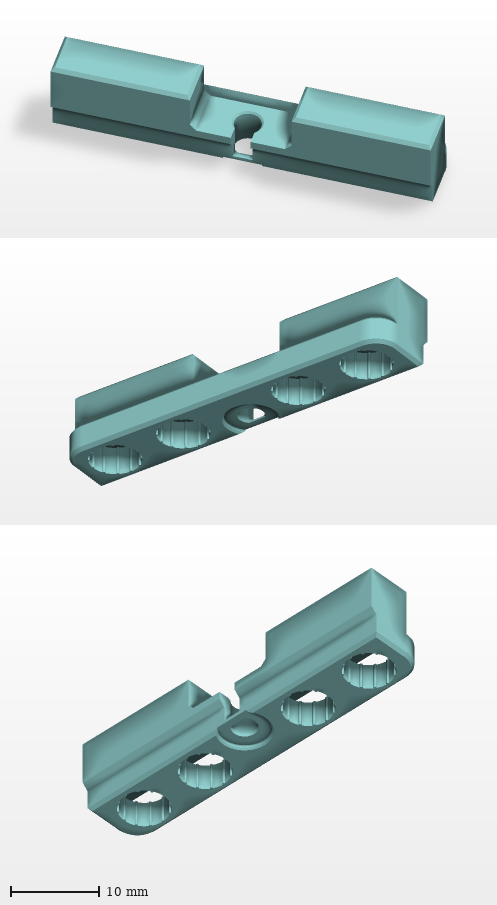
import cadquery as cq

length = 45.0
depth = 8.9
height = 9.85
edge_chamfer = 0.4

block_length = 44.95
block_depth = 5.8
front_setback = 0.8
setback_height = 2.92

flange_height = 3.5
flange_corner_radius = 3.0
wall_foot_chamfer = 0.2

notch_width = 12.0
notch_floor = 4.75
notch_corner_chamfer = 0.75

screw_diameter = 3.2
screw_rim_chamfer = 0.22
counterbore_diameter = 6.2
counterbore_depth = 0.6
counterbore_mouth_chamfer = 0.22
slot_width = 2.35
slot_floor = 1.05
ledge_top = 0.8

flange_hole_diameter = 6.2
flange_hole_rear_margin = 0.9
flange_hole_offsets = (8.0, 17.5)
rib_count = 12
rib_radius = 0.2

front_y = -block_depth / 2
back_y = front_y + depth
block_back_y = front_y + block_depth
lower_front_y = front_y + front_setback

overlap = 0.45


def make_block():
    """Main bar with the sloped front undercut and chamfered lower edges."""
    profile = [
        (lower_front_y, 0),
        (lower_front_y, setback_height),
        (front_y, setback_height + front_setback),
        (front_y, height),
        (block_back_y, height),
        (block_back_y, 0),
    ]
    bar = cq.Workplane("YZ").polyline(profile).close().extrude(block_length / 2, both=True)
    return bar.faces("<Z").edges("not >Y").chamfer(edge_chamfer)


def make_flange():
    """Low slab behind the block, chamfered everywhere but against the block."""
    flange_depth = back_y - block_back_y
    slab = (
        cq.Workplane("XY", origin=(0, block_back_y + flange_depth / 2, 0))
        .rect(length, flange_depth)
        .extrude(flange_height)
        .edges("|Z and >Y")
        .fillet(flange_corner_radius)
    )
    return slab.faces("<Z or >Z").edges("not <Y").chamfer(edge_chamfer)


def make_wall_foot():
    """Small 45 degree strip where the block's rear wall meets the flange top."""
    profile = [
        (block_back_y, flange_height),
        (block_back_y + wall_foot_chamfer, flange_height),
        (block_back_y, flange_height + wall_foot_chamfer),
    ]
    half_length = length / 2 - edge_chamfer
    return cq.Workplane("YZ").polyline(profile).close().extrude(half_length, both=True)


def make_notch():
    """Channel across the block with sloped lower corners."""
    half_width = notch_width / 2
    half_floor = half_width - notch_corner_chamfer
    slope_top = notch_floor + notch_corner_chamfer
    profile = [
        (-half_floor, notch_floor),
        (half_floor, notch_floor),
        (half_width, slope_top),
        (half_width, height + overlap),
        (-half_width, height + overlap),
        (-half_width, slope_top),
    ]
    return cq.Workplane("XZ").polyline(profile).close().extrude(depth, both=True)


def make_screw_hole():
    """Screw bore with a rim chamfer, a chamfered counterbore, and a slot open to the front.

    A thin ledge with a straight edge closes the front of the bore below the slot floor.
    """
    radius = screw_diameter / 2
    rim_start = notch_floor - screw_rim_chamfer
    bore = cq.Workplane("XY").circle(radius).extrude(notch_floor)
    ledge = (
        cq.Workplane("XY")
        .box(screw_diameter, block_depth, ledge_top, centered=(True, False, False))
        .translate((0, -slot_width / 2 - block_depth, 0))
    )
    rim = (
        cq.Workplane("XY", origin=(0, 0, rim_start))
        .circle(radius)
        .workplane(offset=screw_rim_chamfer)
        .circle(radius + screw_rim_chamfer)
        .loft()
    )
    counterbore = cq.Workplane("XY").circle(counterbore_diameter / 2).extrude(counterbore_depth)
    mouth = (
        cq.Workplane("XY")
        .circle(counterbore_diameter / 2 + counterbore_mouth_chamfer)
        .workplane(offset=counterbore_mouth_chamfer)
        .circle(counterbore_diameter / 2)
        .loft()
    )
    slot = (
        cq.Workplane("XY", origin=(0, front_y / 2, slot_floor))
        .rect(slot_width, block_depth / 2)
        .extrude(height)
    )
    return bore.cut(ledge).union(rim).union(counterbore).union(mouth).union(slot)


def make_flange_hole(x):
    """Round hole with small vertical ribs around its wall, as high as the flange."""
    radius = flange_hole_diameter / 2
    center_y = back_y - flange_hole_rear_margin - radius
    hole = cq.Workplane("XY").circle(radius).extrude(flange_height)
    ribs = (
        cq.Workplane("XY")
        .polarArray(radius, 0, 360, rib_count)
        .circle(rib_radius)
        .extrude(flange_height)
    )
    return hole.cut(ribs).translate((x, center_y, 0))


block = make_block().cut(make_notch())
block = block.faces(">Z").edges().chamfer(edge_chamfer)
result = block.union(make_flange()).union(make_wall_foot()).cut(make_screw_hole())
for offset in flange_hole_offsets:
    for side in (-1, 1):
        result = result.cut(make_flange_hole(side * offset))